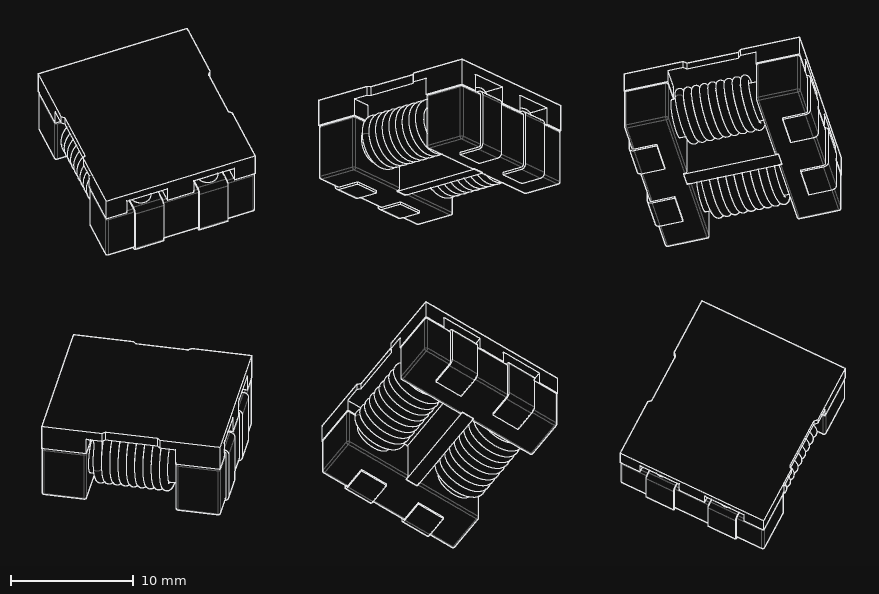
import cadquery as cq
import math

LENGTH = 15.3
WIDTH = 13.11
HEIGHT = 7.1

CLIP_SIDE_THICKNESS = 0.23
CLIP_THICKNESS = 0.2
CLIP_WIDTH = 2.51
CLIP_REACH = 2.34
CLIP_CORNER_RADIUS = 0.41
CLIP_Y = 2.83

BODY_LENGTH = LENGTH - 2 * CLIP_SIDE_THICKNESS
WINDOW_LENGTH = 7.44
BLOCK_LENGTH = (BODY_LENGTH - WINDOW_LENGTH) / 2
BLOCK_TOP = 4.9
BLOCK_HEIGHT = BLOCK_TOP - CLIP_THICKNESS
BLOCK_X = (WINDOW_LENGTH + BLOCK_LENGTH) / 2
BLOCK_FILLET = 0.18

TUNNEL_ROOF = 6.32
TUNNEL_INNER_Y = 1.16
TUNNEL_OUTER_Y = 4.75
NOTCH_HALF_LENGTH = 2.42
NOTCH_DEPTH = 0.25

PAD_LENGTH = 8.02
PAD_WIDTH = 1.1
PAD_BOTTOM = 0.14

CORE_DIAMETER = 3.2
CORE_Y = 4.01
CORE_Z = 3.12
WIRE_DIAMETER = 0.67
COIL_RADIUS = 2.0
COIL_PITCH = 0.69
COIL_TURNS = 8.5
COIL_START_X = -2.89

DOME_RADIUS = 0.84
DOME_X = 6.25
DOME_Z = BLOCK_TOP + CLIP_THICKNESS
START_DOME_Y = -CLIP_Y
END_DOME_Y = -3.06
LEAD_Z = 5.26

START_LEAD_POINTS = [
    (-2.98, -5.43, 4.55),
    (-3.14, -4.75, 4.95),
    (-3.75, -3.9, 5.23),
    (-DOME_X, START_DOME_Y, LEAD_Z),
]
END_LEAD_POINTS = [
    (3.12, -2.48, 4.44),
    (3.37, -2.82, 5.02),
    (3.82, -2.98, LEAD_Z),
    (DOME_X, END_DOME_Y, LEAD_Z),
]


def box_between(x_range, y_range, z_range):
    """Box filling the given ranges along X, Y and Z."""
    size = [high - low for low, high in (x_range, y_range, z_range)]
    corner = (x_range[0], y_range[0], z_range[0])
    return cq.Workplane("XY").box(*size, centered=False).translate(corner)


def half_turn(shape):
    """Copy of a shape rotated by half a turn about the vertical axis."""
    return shape.rotate((0, 0, 0), (0, 0, 1), 180)


def make_end_block():
    block = cq.Workplane("XY").box(BLOCK_LENGTH, WIDTH, BLOCK_HEIGHT)
    block = block.edges().fillet(BLOCK_FILLET)
    return block.translate((-BLOCK_X, 0, CLIP_THICKNESS + BLOCK_HEIGHT / 2))


def make_clip(y):
    """C-shaped clip around the outer face of the -X end block."""
    clip_top = BLOCK_TOP + CLIP_THICKNESS
    y_range = (y - CLIP_WIDTH / 2, y + CLIP_WIDTH / 2)
    outer = box_between((-LENGTH / 2, -LENGTH / 2 + CLIP_REACH), y_range, (0, clip_top))
    outer = outer.edges("|Y and <X").fillet(CLIP_CORNER_RADIUS)
    inside = box_between((-BODY_LENGTH / 2, 0), y_range, (CLIP_THICKNESS, BLOCK_TOP))
    inside = inside.edges("|Y and <X").fillet(BLOCK_FILLET)
    return outer.cut(inside)


def make_cover():
    cover = box_between(
        (-BODY_LENGTH / 2, BODY_LENGTH / 2), (-WIDTH / 2, WIDTH / 2), (BLOCK_TOP, HEIGHT)
    )
    under_roof = (BLOCK_TOP, TUNNEL_ROOF)
    tunnel = box_between((-LENGTH, LENGTH), (-TUNNEL_OUTER_Y, -TUNNEL_INNER_Y), under_roof)
    window = box_between(
        (-WINDOW_LENGTH / 2, WINDOW_LENGTH / 2), (-WIDTH, -TUNNEL_INNER_Y), under_roof
    )
    notch = (
        cq.Workplane("XY")
        .moveTo(-NOTCH_HALF_LENGTH, -WIDTH / 2)
        .lineTo(-NOTCH_HALF_LENGTH + NOTCH_DEPTH, -WIDTH / 2 + NOTCH_DEPTH)
        .lineTo(NOTCH_HALF_LENGTH - NOTCH_DEPTH, -WIDTH / 2 + NOTCH_DEPTH)
        .lineTo(NOTCH_HALF_LENGTH, -WIDTH / 2)
        .close()
        .extrude(HEIGHT)
    )
    for opening in (tunnel, window, notch):
        cover = cover.cut(opening).cut(half_turn(opening))
    return cover


def make_pad():
    return box_between(
        (-PAD_LENGTH / 2, PAD_LENGTH / 2), (-PAD_WIDTH / 2, PAD_WIDTH / 2), (PAD_BOTTOM, TUNNEL_ROOF)
    )


def make_core():
    core = cq.Workplane("YZ").circle(CORE_DIAMETER / 2).extrude(2 * BLOCK_X)
    return core.translate((-BLOCK_X, -CORE_Y, CORE_Z))


def coil_point(turn):
    """Point on the wire axis; turn 0 is the outer side, winding downward first."""
    angle = 2 * math.pi * turn
    return cq.Vector(
        COIL_START_X + COIL_PITCH * turn,
        -CORE_Y - COIL_RADIUS * math.cos(angle),
        CORE_Z - COIL_RADIUS * math.sin(angle),
    )


def coil_direction(turn):
    """Direction of the wire axis at the given turn."""
    angle = 2 * math.pi * turn
    around = 2 * math.pi * COIL_RADIUS
    return cq.Vector(COIL_PITCH, around * math.sin(angle), -around * math.cos(angle)).normalized()


def make_winding():
    helix = cq.Wire.makeHelix(COIL_PITCH, COIL_PITCH * COIL_TURNS, COIL_RADIUS)
    helix = helix.rotate(cq.Vector(0, 0, 0), cq.Vector(0, 1, 0), 90)
    helix = helix.rotate(cq.Vector(0, 0, 0), cq.Vector(1, 0, 0), -90)
    helix = helix.translate(cq.Vector(COIL_START_X, -CORE_Y, CORE_Z))
    section = cq.Plane(origin=coil_point(0), normal=coil_direction(0))
    return cq.Workplane(section).circle(WIRE_DIAMETER / 2).sweep(helix, isFrenet=True)


def make_lead(turn, along, points):
    """Lead from the winding at a given turn, through the points, to a dome.

    The lead leaves forward along the winding for +1 and backward for -1.
    """
    start = coil_point(turn)
    direction = coil_direction(turn) * along
    outward = cq.Vector(along, 0, 0)
    path = cq.Workplane("XY").spline(
        [start] + [cq.Vector(point) for point in points], tangents=[direction, outward]
    )
    section = cq.Plane(origin=start, normal=direction)
    return cq.Workplane(section).circle(WIRE_DIAMETER / 2).sweep(path)


def make_dome(x, y):
    """Upper half of a ball resting on a clip."""
    return cq.Workplane("XY").sphere(DOME_RADIUS, angle1=0).translate((x, y, DOME_Z))


def make_wire():
    """Winding with both of its leads."""
    wire = make_winding()
    wire = wire.union(make_lead(0, -1, START_LEAD_POINTS))
    return wire.union(make_lead(COIL_TURNS, 1, END_LEAD_POINTS))


half_parts = [
    make_end_block(),
    make_clip(-CLIP_Y),
    make_clip(CLIP_Y),
    make_core(),
    make_dome(-DOME_X, START_DOME_Y),
    make_dome(DOME_X, END_DOME_Y),
    make_wire(),
]

result = make_cover().union(make_pad())
for part in half_parts:
    result = result.union(part).union(half_turn(part))